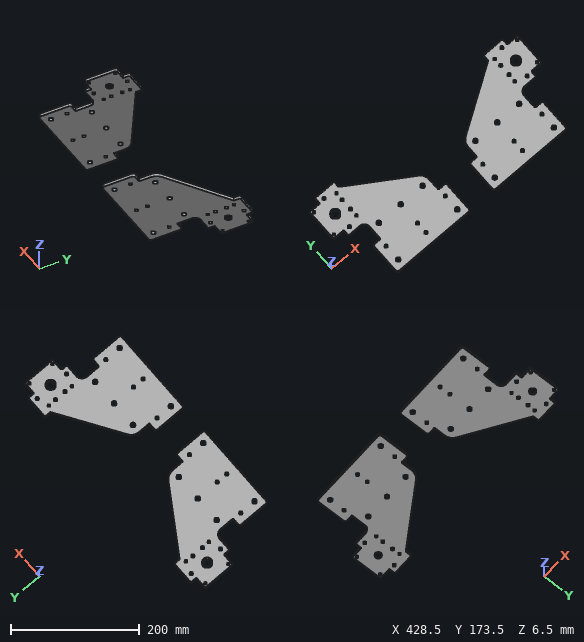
import cadquery as cq

overall_width = 428.5
overall_depth = 173.5
thickness = 6.5

base_width = 151.0
base_depth = 58.0
base_left = -175.0
base_center = base_left + base_width / 2
base_corner_radius = 4.3

neck_inset = 15.5
neck_left = base_left + neck_inset
neck_right = base_left + base_width - neck_inset
shoulder_y = 88.5
shoulder_radius = 20.0
throat_radius = 10.0

outer_edge = -overall_width / 2
pad_length = 21.0
pad_depth = 57.0
tab_width = 40.0
tab_depth = 79.5
tab_left = outer_edge + pad_length
tab_right = tab_left + tab_width
tab_front = overall_depth - tab_depth
head_center_y = overall_depth - tab_depth / 2
pad_front = head_center_y - pad_depth / 2
pad_back = head_center_y + pad_depth / 2
head_corner_radius = 2.0

bore_x = outer_edge + 28.3
bore_diameter = 11.0
counterbore_diameter = 16.3
counterbore_depth = 4.3

small_diameter = 4.2
medium_diameter = 5.0
large_diameter = 7.3

tab_hole_x = outer_edge + 31.3
tab_hole_offset = 30.0
pad_hole_x = outer_edge + 5.0
inner_hole_x = outer_edge + 51.5
corner_hole_offset = 23.5
close_hole_x = outer_edge + 51.0
close_hole_offset = 10.0

neck_hole_pitch = 45.0
neck_hole_y = 78.5
base_hole_offset = 61.0
base_front_hole_y = 14.5
base_back_hole_y = 43.0
center_hole_ys = (19.0, 38.5)


def round_corners(plate, corners, radius):
    """Round the vertical edges that stand at the given XY corners."""
    for x, y in corners:
        edge = cq.selectors.NearestToPointSelector((x, y, thickness / 2))
        plate = plate.edges("|Z").edges(edge).fillet(radius)
    return plate


def make_blank():
    """Plate outline with its corners rounded, before drilling."""
    base_right = base_left + base_width
    blank = (
        cq.Workplane("XY")
        .moveTo(base_left, 0)
        .lineTo(base_right, 0)
        .lineTo(base_right, base_depth)
        .lineTo(neck_right, base_depth)
        .lineTo(neck_right, shoulder_y)
        .lineTo(tab_right, pad_back)
        .lineTo(tab_right, overall_depth)
        .lineTo(tab_left, overall_depth)
        .lineTo(tab_left, pad_back)
        .lineTo(outer_edge, pad_back)
        .lineTo(outer_edge, pad_front)
        .lineTo(tab_left, pad_front)
        .lineTo(tab_left, tab_front)
        .lineTo(neck_left, tab_front)
        .lineTo(neck_left, base_depth)
        .lineTo(base_left, base_depth)
        .close()
        .extrude(thickness)
    )
    base_corners = [(x, y) for x in (base_left, base_right) for y in (0, base_depth)]
    head_corners = [
        (tab_right, overall_depth),
        (tab_left, overall_depth),
        (outer_edge, pad_back),
        (outer_edge, pad_front),
        (tab_left, tab_front),
    ]
    blank = round_corners(blank, base_corners, base_corner_radius)
    blank = round_corners(blank, head_corners, head_corner_radius)
    blank = round_corners(blank, [(neck_right, shoulder_y)], shoulder_radius)
    return round_corners(blank, [(neck_left, tab_front)], throat_radius)


def drill(plate, points, diameter, depth=thickness):
    """Cut round holes down from the top face."""
    cutter = (
        cq.Workplane("XY", origin=(0, 0, thickness))
        .pushPoints(points)
        .circle(diameter / 2)
        .extrude(-depth)
    )
    return plate.cut(cutter)


def head_pair(x, offset):
    """Two points placed symmetrically about the head centre line."""
    return [(x, head_center_y - offset), (x, head_center_y + offset)]


def base_pair(y):
    """Two points placed symmetrically about the base centre line."""
    return [(base_center - base_hole_offset, y), (base_center + base_hole_offset, y)]


def make_plate():
    """Drilled plate on the -X side."""
    plate = make_blank()

    bearing_center = [(bore_x, head_center_y)]
    plate = drill(plate, bearing_center, bore_diameter)
    plate = drill(plate, bearing_center, counterbore_diameter, counterbore_depth)

    corner_holes = head_pair(pad_hole_x, corner_hole_offset) + head_pair(inner_hole_x, corner_hole_offset)
    plate = drill(plate, corner_holes, small_diameter)

    head_holes = head_pair(tab_hole_x, tab_hole_offset) + head_pair(close_hole_x, close_hole_offset)
    center_holes = [(base_center, y) for y in center_hole_ys]
    plate = drill(plate, head_holes + center_holes + base_pair(base_back_hole_y), medium_diameter)

    neck_holes = [(base_center + i * neck_hole_pitch, neck_hole_y) for i in (-1, 0, 1)]
    return drill(plate, neck_holes + base_pair(base_front_hole_y), large_diameter)


plates = []
for mirrored in (False, True):
    plate = make_plate()
    if mirrored:
        plate = plate.mirror("YZ")
    plates.append(plate.val())

result = cq.Compound.makeCompound(plates)